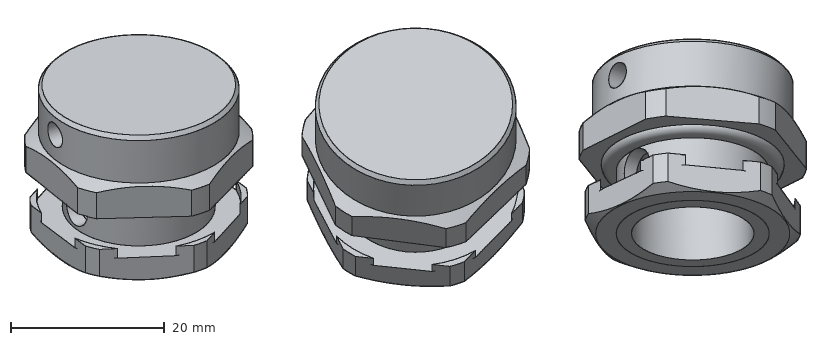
import cadquery as cq
import math

TOP_Z = 22.0
CAP_RADIUS = 13.05
CAP_CHAMFER_HEIGHT = 0.55
CAP_CHAMFER_WIDTH = 0.48
CAP_BASE_Z = 15.0
HEX_BASE_Z = 10.0
HEX_FLATS = 27.0
HEX_CORNER_RADIUS = 14.85
COLLAR_BASE_Z = 9.03
COLLAR_RADIUS = 11.9
STEM_RADIUS = 9.95
BORE_RADIUS = 7.95

HOLE_DIRECTION = -120.0
CAP_HOLE_RADIUS = 1.75
CAP_HOLE_Z = 18.7
CAP_HOLE_DEPTH = 6.53
STEM_HOLE_RADIUS = 2.5
STEM_HOLE_Z = COLLAR_BASE_Z - STEM_HOLE_RADIUS

NUT_HEIGHT = 5.0
NUT_FLATS = 25.47
NUT_CORNER_RADIUS = 14.15
NUT_BASE_RADIUS = 12.62
NUT_TURN = 1.7
NUT_RECESS_RADIUS = 13.3
NUT_RECESS_DEPTH = 1.45

HEX_CHAMFER_SLOPE = math.tan(math.radians(30))


def hexagon(flats, base_z, height):
    """Hexagonal prism with corners on the Y axis."""
    across_corners = flats / math.cos(math.radians(30))
    return (
        cq.Workplane("XY", origin=(0, 0, base_z))
        .polygon(6, across_corners)
        .extrude(height)
        .rotate((0, 0, 0), (0, 0, 1), 30)
    )


def cylinder(radius, base_z, top_z):
    return cq.Workplane("XY", origin=(0, 0, base_z)).circle(radius).extrude(top_z - base_z)


def revolve_profile(points):
    """Turn a closed (radius, z) outline around the Z axis."""
    return cq.Workplane("XZ").polyline(points).close().revolve(360, (0, 0), (0, 1))


def radial_hole(radius, z, start_distance, depth):
    """Cylinder running inward toward the Z axis from start_distance."""
    angle = math.radians(HOLE_DIRECTION)
    outward = cq.Vector(math.cos(angle), math.sin(angle), 0)
    start = outward * start_distance + cq.Vector(0, 0, z)
    return cq.Workplane(cq.Solid.makeCylinder(radius, depth, start, outward * -1))


def make_cap():
    return revolve_profile([
        (0, CAP_BASE_Z),
        (CAP_RADIUS, CAP_BASE_Z),
        (CAP_RADIUS, TOP_Z - CAP_CHAMFER_HEIGHT),
        (CAP_RADIUS - CAP_CHAMFER_WIDTH, TOP_Z),
        (0, TOP_Z),
    ])


def make_plug_hexagon():
    """Hexagon with rounded corners and a conical top edge."""
    chamfer_height = (HEX_CORNER_RADIUS - CAP_RADIUS) * HEX_CHAMFER_SLOPE
    envelope = revolve_profile([
        (0, HEX_BASE_Z),
        (HEX_CORNER_RADIUS, HEX_BASE_Z),
        (HEX_CORNER_RADIUS, CAP_BASE_Z - chamfer_height),
        (CAP_RADIUS, CAP_BASE_Z),
        (0, CAP_BASE_Z),
    ])
    return hexagon(HEX_FLATS, HEX_BASE_Z, CAP_BASE_Z - HEX_BASE_Z).intersect(envelope)


def make_plug():
    collar_round = HEX_BASE_Z - COLLAR_BASE_Z
    collar = cylinder(COLLAR_RADIUS, COLLAR_BASE_Z, CAP_BASE_Z).faces("<Z").edges().fillet(collar_round)
    stem = cylinder(STEM_RADIUS, 0, COLLAR_BASE_Z)
    bore = cylinder(BORE_RADIUS, 0, HEX_BASE_Z)
    cap_hole = radial_hole(CAP_HOLE_RADIUS, CAP_HOLE_Z, CAP_RADIUS, CAP_HOLE_DEPTH)
    stem_hole = radial_hole(STEM_HOLE_RADIUS, STEM_HOLE_Z, STEM_RADIUS, STEM_RADIUS)
    solid_plug = make_cap().union(make_plug_hexagon()).union(collar).union(stem)
    return solid_plug.cut(bore).cut(cap_hole).cut(stem_hole)


def make_nut():
    """Hexagonal nut with a conical bottom edge and a recessed top."""
    chamfer_height = (NUT_CORNER_RADIUS - NUT_BASE_RADIUS) * HEX_CHAMFER_SLOPE
    envelope = revolve_profile([
        (0, 0),
        (NUT_BASE_RADIUS, 0),
        (NUT_CORNER_RADIUS, chamfer_height),
        (NUT_CORNER_RADIUS, NUT_HEIGHT),
        (0, NUT_HEIGHT),
    ])
    recess = cylinder(NUT_RECESS_RADIUS, NUT_HEIGHT - NUT_RECESS_DEPTH, NUT_HEIGHT)
    stem_opening = cylinder(STEM_RADIUS, 0, NUT_HEIGHT)
    nut = hexagon(NUT_FLATS, 0, NUT_HEIGHT).intersect(envelope).cut(recess).cut(stem_opening)
    return nut.rotate((0, 0, 0), (0, 0, 1), NUT_TURN)


plug = make_plug()
lock_nut = make_nut()

result = cq.Compound.makeCompound([plug.val(), lock_nut.val()])